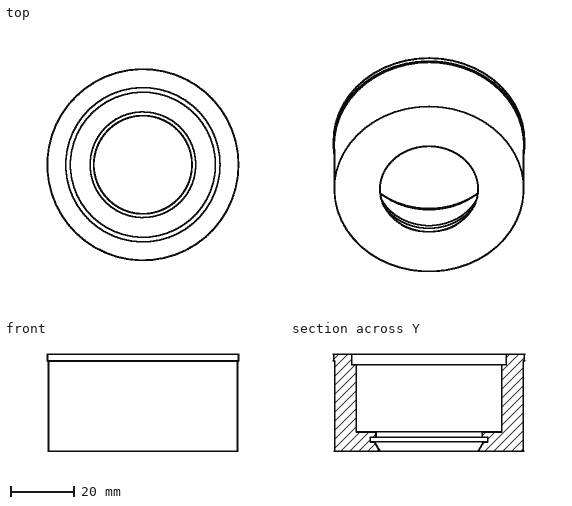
import cadquery as cq
import math

height = 30.8
rim_diameter = 60.7
body_diameter = 60.1
rim_height = 2.0

recess_diameter = 48.9
recess_depth = 3.35
bore_diameter = 46.0
bore_depth = 21.3

lip_diameter = 33.5
lip_thickness = 1.75
undercut_diameter = 37.15
undercut_floor = 3.0
mouth_diameter = 31.1
cone_half_angle = 30.0

rim_radius = rim_diameter / 2
body_radius = body_diameter / 2
recess_radius = recess_diameter / 2
bore_radius = bore_diameter / 2
lip_radius = lip_diameter / 2
undercut_radius = undercut_diameter / 2
mouth_radius = mouth_diameter / 2
cone_top_radius = mouth_radius + undercut_floor * math.tan(math.radians(cone_half_angle))

rim_bottom = height - rim_height
chamfer_bottom = rim_bottom - (rim_radius - body_radius)
recess_floor = height - recess_depth
bore_floor = recess_floor - bore_depth
lip_bottom = bore_floor - lip_thickness

profile = [
    (mouth_radius, 0),
    (body_radius, 0),
    (body_radius, chamfer_bottom),
    (rim_radius, rim_bottom),
    (rim_radius, height),
    (recess_radius, height),
    (recess_radius, recess_floor),
    (bore_radius, recess_floor),
    (bore_radius, bore_floor),
    (lip_radius, bore_floor),
    (lip_radius, lip_bottom),
    (undercut_radius, lip_bottom),
    (undercut_radius, undercut_floor),
    (cone_top_radius, undercut_floor),
]

result = cq.Workplane("XZ").polyline(profile).close().revolve(360, (0, 0), (0, 1))